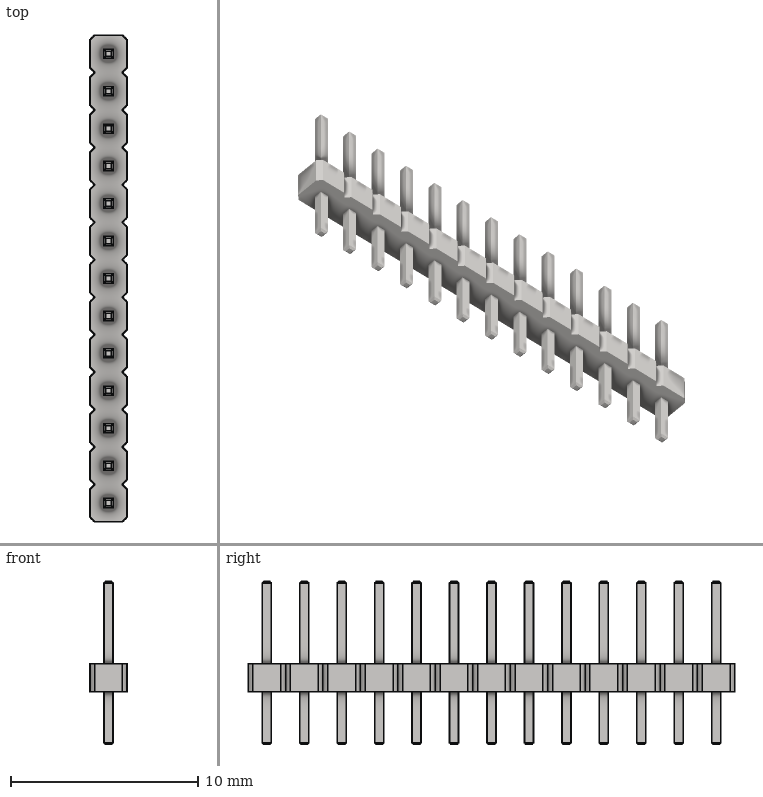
import cadquery as cq

pin_count = 13
row_length = 26.0
pitch = row_length / pin_count

housing_width = 2.0
housing_height = 1.5
corner_chamfer = 0.25

pin_side = 0.5
pin_length = 8.7
tip_chamfer = 0.1
pin_below_housing = 2.8

pin_positions = [(0, (i - (pin_count - 1) / 2) * pitch) for i in range(pin_count)]


def make_housing():
    """Blocks with chamfered upright edges, which leave V-notches where neighbours meet."""
    x_side = housing_width / 2
    x_notch = x_side - corner_chamfer
    right_side = []
    for _, y in pin_positions:
        y_start = y - pitch / 2
        y_end = y + pitch / 2
        right_side += [
            (x_notch, y_start),
            (x_side, y_start + corner_chamfer),
            (x_side, y_end - corner_chamfer),
        ]
    right_side.append((x_notch, row_length / 2))
    left_side = [(-x, y) for x, y in reversed(right_side)]
    return cq.Workplane("XY").polyline(right_side + left_side).close().extrude(housing_height)


def make_pins():
    """Square pins with all edges of both end faces chamfered."""
    return (
        cq.Workplane("XY")
        .workplane(offset=-pin_below_housing)
        .pushPoints(pin_positions)
        .rect(pin_side, pin_side)
        .extrude(pin_length)
        .faces("<Z or >Z")
        .chamfer(tip_chamfer)
    )


result = make_housing().union(make_pins())